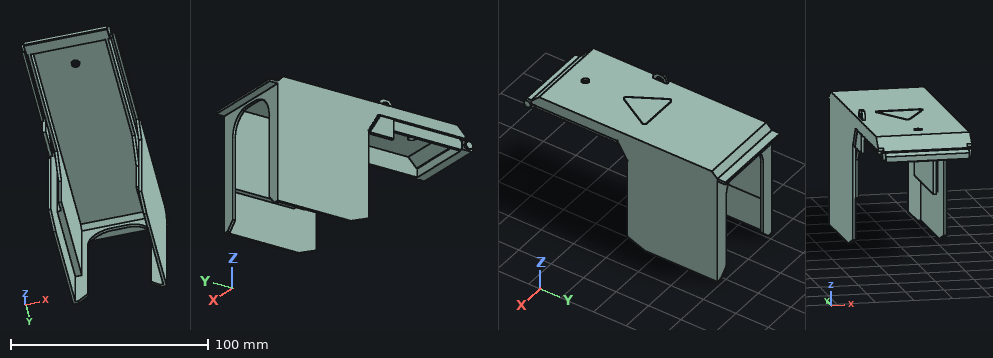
import cadquery as cq
import math

width = 48.7
length = 126.0
roof_top = 70.0
sheet = 1.5
half_width = width / 2

lip_length = 5.0
lip_top = 66.6
back_face = length - lip_length
back_bevel = roof_top - lip_top
skirt_bottom = 63.5
skirt_front = 6.2
slope_top_front = 11.1
leg_front = 65.4
leg_slant_bottom = 53.3
slant_ratio = 0.6
leg_chamfer_length = 11.0
leg_chamfer_height = 4.3

back_flange = 7.9
opening_top = 63.2
opening_radius = 12.6
flange_chamfer = 4.8

guide_inset = 3.4
guide_bottom = 23.8
guide_slant_bottom = 43.7
guide_front = 74.3
guide_spacer_setback = 5.0
beam_bottom = 58.6

nose_inset = 2.6
nose_top = 63.5
nose_chamfer = 1.6
nose_bottom_chamfer = 0.4
pin_inset = 1.1
pin_radius = 2.1
pin_y = 3.0
pin_z = 61.2

tab_inset = 0.8
tab_thickness = 1.9
tab_bottom = 52.8
tab_front = 49.5
tab_back = 64.2
loop_inset = 1.5
loop_thickness = 1.5
loop_radius = 4.4
loop_height = 4.0
loop_hole_radius = 2.0
loop_hole_sill = 0.3
loop_y = 53.9

hole_diameter = 4.0
hole_y = 22.8
triangle_side = 26.2
triangle_radius = 1.4
triangle_depth = 0.4
triangle_base_y = 68.0


def side_plate(points, x_start, thickness):
    """Extrude a (Y, Z) outline along +X from x_start."""
    return cq.Workplane("YZ").polyline(points).close().extrude(thickness).translate((x_start, 0, 0))


def box(x_range, y_range, z_range):
    """Axis-aligned block spanning the given ranges."""
    sizes = [end - start for start, end in (x_range, y_range, z_range)]
    corner = (x_range[0], y_range[0], z_range[0])
    return cq.Workplane("XY").box(*sizes, centered=False).translate(corner)


def both_sides(body):
    """Return the body joined with its mirror image across the middle plane."""
    return body.union(body.mirror("YZ"))


def make_cover():
    """Folded sheet cover: roof, front slope, side walls with legs, back wall and lip."""
    skirt_front_top = roof_top - (slope_top_front - skirt_front)
    leg_slant_top = leg_front - slant_ratio * (skirt_bottom - leg_slant_bottom)
    outline = [
        (skirt_front, skirt_bottom),
        (skirt_front, skirt_front_top),
        (slope_top_front, roof_top),
        (back_face - back_bevel, roof_top),
        (back_face, lip_top),
        (back_face, 0),
        (leg_front + leg_chamfer_length, 0),
        (leg_front, leg_chamfer_height),
        (leg_front, leg_slant_bottom),
        (leg_slant_top, skirt_bottom),
    ]
    bend_offset = sheet * math.tan(math.radians(22.5))
    inner_top = roof_top - sheet
    inner_slope_front = slope_top_front + bend_offset
    inner_bevel_back = back_face - back_bevel - bend_offset
    inner_back = back_face - sheet
    cavity_outline = [
        (inner_slope_front - inner_top, 0),
        (inner_slope_front, inner_top),
        (inner_bevel_back, inner_top),
        (inner_back, inner_top - (inner_back - inner_bevel_back)),
        (inner_back, 0),
    ]
    cavity = side_plate(cavity_outline, sheet - half_width, width - 2 * sheet)
    lip = box((-half_width, half_width), (back_face - sheet, length), (lip_top - sheet, lip_top))
    return side_plate(outline, -half_width, width).cut(cavity).union(lip)


def make_back_opening():
    """Doorway through the back wall: rounded upper corners, flared foot."""
    half_opening = half_width - back_flange
    half_foot = half_opening + flange_chamfer
    half_top = half_opening - opening_radius
    arc_start = opening_top - opening_radius
    doorway = (
        cq.Workplane("XZ")
        .moveTo(-half_foot, 0)
        .lineTo(-half_opening, flange_chamfer)
        .lineTo(-half_opening, arc_start)
        .radiusArc((-half_top, opening_top), opening_radius)
        .lineTo(half_top, opening_top)
        .radiusArc((half_opening, arc_start), opening_radius)
        .lineTo(half_opening, flange_chamfer)
        .lineTo(half_foot, 0)
        .close()
        .extrude(-2 * sheet)
    )
    return doorway.translate((0, back_face - 1.5 * sheet, 0))


def make_guides():
    """Guide plates beside the side walls, each joined to its wall by a spacer at the back."""
    guide_top = roof_top - sheet / 2
    guide_back = back_face - sheet / 2
    back_corner = [
        (guide_back - back_bevel, guide_top),
        (guide_back, guide_top - back_bevel),
        (guide_back, guide_bottom),
    ]
    beam_start = guide_front - slant_ratio * (beam_bottom - guide_slant_bottom)
    plate_outline = [
        (guide_front, guide_bottom),
        (guide_front, guide_slant_bottom),
        (beam_start, beam_bottom),
        (skirt_front, beam_bottom),
        (skirt_front, nose_top),
        (skirt_front + guide_top - nose_top, guide_top),
    ] + back_corner
    spacer_front = guide_front + guide_spacer_setback
    spacer_outline = [(spacer_front, guide_bottom), (spacer_front, guide_top)] + back_corner
    plate = side_plate(plate_outline, guide_inset - half_width, sheet)
    spacer = side_plate(spacer_outline, sheet / 2 - half_width, guide_inset)
    return both_sides(plate.union(spacer))


def make_nose():
    """Solid front bar under the slope, with the hinge pin through its length."""
    slope_foot = slope_top_front - (roof_top - nose_top)
    outline = [
        (nose_bottom_chamfer, beam_bottom),
        (0, beam_bottom + nose_bottom_chamfer),
        (0, nose_top - nose_chamfer),
        (nose_chamfer, nose_top),
        (slope_foot, nose_top),
        (skirt_front, nose_top + skirt_front - slope_foot),
        (skirt_front, beam_bottom),
    ]
    bar = side_plate(outline, nose_inset - half_width, width - 2 * nose_inset)
    pin_length = width - 2 * pin_inset
    pin = cq.Workplane("YZ").circle(pin_radius).extrude(pin_length)
    return bar.union(pin.translate((pin_inset - half_width, pin_y, pin_z)))


def make_hasp_tab():
    """Tab hanging below the side wall, its back edge parallel to the slant of the leg."""
    tab_top = roof_top - sheet / 2
    outline = [
        (tab_front, tab_bottom),
        (tab_back, tab_bottom),
        (tab_back - slant_ratio * (tab_top - tab_bottom), tab_top),
        (tab_front, tab_top),
    ]
    return side_plate(outline, tab_inset - half_width, tab_thickness)


def make_loop():
    """Flat-topped half disc standing on the roof above the tab, with a half-round hole."""
    root = sheet / 2
    disc = cq.Workplane("YZ").circle(loop_radius).extrude(loop_thickness)
    stand = box((0, loop_thickness), (-loop_radius, loop_radius), (-root, loop_height))
    hole = (
        cq.Workplane("YZ")
        .moveTo(-loop_hole_radius, loop_hole_sill)
        .threePointArc((0, loop_hole_sill + loop_hole_radius), (loop_hole_radius, loop_hole_sill))
        .close()
        .extrude(loop_thickness)
    )
    loop = disc.intersect(stand).cut(hole)
    return loop.translate((loop_inset - half_width, loop_y, roof_top))


def make_triangle_recess():
    """Shallow triangular mark with rounded corners, pointing at the nose."""
    triangle_height = triangle_side * math.sqrt(3) / 2
    corners = [
        (-triangle_side / 2, triangle_base_y),
        (triangle_side / 2, triangle_base_y),
        (0, triangle_base_y - triangle_height),
    ]
    mark = cq.Workplane("XY").polyline(corners).close().extrude(triangle_depth)
    return mark.edges("|Z").fillet(triangle_radius).translate((0, 0, roof_top - triangle_depth))


def make_roof_hole():
    """Round hole through the roof near the front."""
    drill = cq.Workplane("XY").circle(hole_diameter / 2).extrude(2 * sheet)
    return drill.translate((0, hole_y, roof_top - 1.5 * sheet))


result = (
    make_cover()
    .cut(make_back_opening())
    .union(make_guides())
    .union(make_nose())
    .union(make_hasp_tab())
    .union(make_loop())
    .cut(make_triangle_recess())
    .cut(make_roof_hole())
)